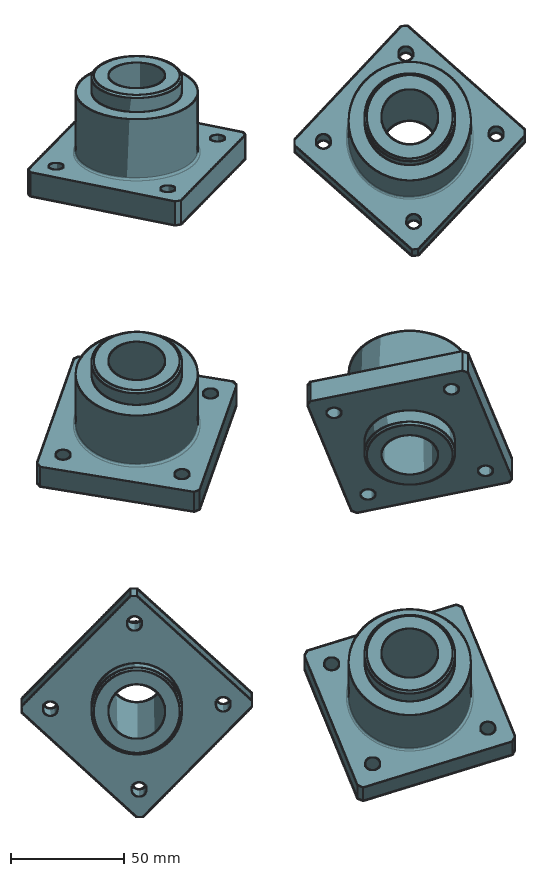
import cadquery as cq

plate_side = 74.0
plate_thickness = 12.0
corner_chamfer = 2.0

hole_diameter = 6.6
hole_spacing = 54.0

housing_diameter = 54.0
housing_height = 30.05
housing_fillet = 1.0

bushing_diameter = 40.0
bore_diameter = 25.0
bushing_length = 58.0
bushing_chamfer = 1.0
bushing_overhang = (bushing_length - plate_thickness - housing_height) / 2


def make_plate():
    """Plate with its underside at Z = 0 and its vertical corners chamfered."""
    plate = cq.Workplane("XY").rect(plate_side, plate_side).extrude(plate_thickness)
    return plate.edges("|Z").chamfer(corner_chamfer)


def make_housing():
    """Cylinder on the plate with a concave fillet around its foot."""
    radius = housing_diameter / 2
    foot_radius = radius + housing_fillet
    foot_top = plate_thickness + housing_fillet
    fillet_center = (foot_radius, foot_top)
    arc_reach = housing_fillet * 0.5**0.5
    arc_middle = (fillet_center[0] - arc_reach, fillet_center[1] - arc_reach)
    return (
        cq.Workplane("XZ")
        .moveTo(0, plate_thickness)
        .lineTo(foot_radius, plate_thickness)
        .threePointArc(arc_middle, (radius, foot_top))
        .lineTo(radius, plate_thickness + housing_height)
        .lineTo(0, plate_thickness + housing_height)
        .close()
        .revolve(360, (0, 0, 0), (0, 1, 0))
    )


def make_bushing():
    """Cylinder projecting equally above the housing and below the plate."""
    bushing = (
        cq.Workplane("XY")
        .workplane(offset=-bushing_overhang)
        .circle(bushing_diameter / 2)
        .extrude(bushing_length)
    )
    return bushing.faces("<Z or >Z").edges().chamfer(bushing_chamfer)


def make_vertical_holes():
    """Through bore and the four mounting holes, as solids to remove."""
    base = cq.Workplane("XY").workplane(offset=-bushing_overhang)
    bore = base.circle(bore_diameter / 2).extrude(bushing_length)
    mounting_holes = (
        base.rect(hole_spacing, hole_spacing, forConstruction=True)
        .vertices()
        .circle(hole_diameter / 2)
        .extrude(bushing_length)
    )
    return bore.union(mounting_holes)


body = make_plate().union(make_housing()).union(make_bushing())
result = body.cut(make_vertical_holes())